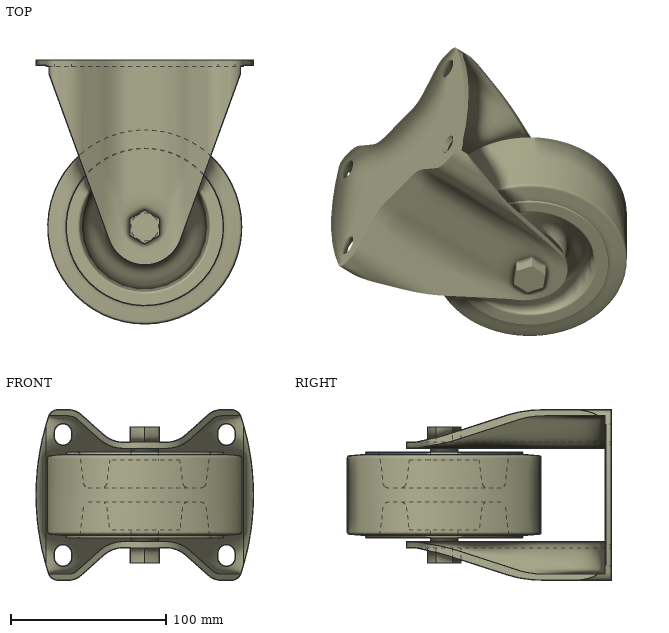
import cadquery as cq
import math


overall_length = 170.0
tread_diameter = 125.0
tread_radius = tread_diameter / 2

plate_width = 140.0
plate_height = 110.0
plate_thickness = 4.0
wing_thickness = 3.5
wing_start = 63.5
bulge_radius = 161.5
corner_radius = 6.8
plate_back = overall_length - tread_radius
plate_half_width = plate_width / 2
plate_half_height = plate_height / 2

slot_width = 11.0
slot_height = 13.8
slot_spacing_x = 105.2
slot_spacing_z = 77.9

waist_outer_height = 68.0
waist_inner_height = 60.0
waist_width = 27.7
waist_bend_radius = 18.9
shoulder_start = 49.5
shoulder_bend_radius = 13.0
leg_end_radius = 24.3
leg_taper_x = 61.9
leg_taper_y = 99.1
waist_half_height = waist_outer_height / 2
waist_half_width = waist_width / 2
sheet = (waist_outer_height - waist_inner_height) / 2

hex_across_flats = 18.9
bolt_half_length = 43.9
spacer_diameter = 18.0

tread_half_width = 26.2
tread_edge_half_width = 25.2
tread_edge_fillet = 1.5
rim_half_width = 27.5
rim_diameter = 101.5
rim_face_radius = 50.5
floor_thickness = 9.0
floor_outer_radius = 39.1
floor_inner_radius = 24.8
floor_fillet = 3.7
draft = math.radians(7)
rim_edge_fillet = 1.5
hub_half_width = 22.5
hub_edge_fillet = 1.0

radius_sum = waist_bend_radius + shoulder_bend_radius
centre_dx = shoulder_start - waist_half_width
centre_dz = plate_half_height - waist_half_height - radius_sum
slope = math.atan2(centre_dz, centre_dx) + math.asin(radius_sum / math.hypot(centre_dx, centre_dz))


def polar(centre, radius, angle):
    return (centre[0] + radius * math.cos(angle), centre[1] + radius * math.sin(angle))


def draw_leg_bends(depth):
    """Start a quarter outline that follows a leg, `depth` below its outer face."""
    waist_centre = (waist_half_width, waist_half_height + waist_bend_radius)
    shoulder_centre = (shoulder_start, plate_half_height - shoulder_bend_radius)
    waist_radius = waist_bend_radius + depth
    shoulder_radius = shoulder_bend_radius - depth
    down = -math.pi / 2
    up = math.pi / 2
    return (
        cq.Workplane("XZ", origin=(0, plate_back, 0))
        .lineTo(0, waist_half_height - depth)
        .lineTo(waist_half_width, waist_half_height - depth)
        .threePointArc(polar(waist_centre, waist_radius, down + slope / 2),
                       polar(waist_centre, waist_radius, down + slope))
        .lineTo(*polar(shoulder_centre, shoulder_radius, up + slope))
        .threePointArc(polar(shoulder_centre, shoulder_radius, up + slope / 2),
                       polar(shoulder_centre, shoulder_radius, up))
    )


def mirror_quarter(quarter):
    half = quarter.union(quarter.mirror("YZ"))
    return half.union(half.mirror("XY")).clean()


def outline_prism(length):
    """The outline of the bracket, extruded from the back of the plate."""
    bulge_centre = (plate_half_width - bulge_radius, 0)
    corner_z = plate_half_height - corner_radius
    corner_x = bulge_centre[0] + math.sqrt((bulge_radius - corner_radius) ** 2 - corner_z**2)
    corner_centre = (corner_x, corner_z)
    meet_angle = math.asin(corner_z / (bulge_radius - corner_radius))
    corner_middle_angle = (meet_angle + math.pi / 2) / 2
    quarter = (
        draw_leg_bends(0)
        .lineTo(corner_x, plate_half_height)
        .threePointArc(polar(corner_centre, corner_radius, corner_middle_angle),
                       polar(bulge_centre, bulge_radius, meet_angle))
        .threePointArc(polar(bulge_centre, bulge_radius, meet_angle / 2), (plate_half_width, 0))
        .close()
        .extrude(length)
    )
    return mirror_quarter(quarter)


def make_legs():
    length = plate_back + leg_end_radius
    cavity = mirror_quarter(
        draw_leg_bends(sheet)
        .lineTo(plate_half_width, plate_half_height - sheet)
        .lineTo(plate_half_width, 0)
        .close()
        .extrude(length)
    )
    taper_distance = math.hypot(leg_taper_x, leg_taper_y)
    tangent_angle = math.atan2(leg_taper_y, leg_taper_x) - math.acos(leg_end_radius / taper_distance)
    tangent_x, tangent_y = polar((0, 0), leg_end_radius, tangent_angle)
    silhouette = (
        cq.Workplane("XY")
        .moveTo(-leg_taper_x, plate_back)
        .lineTo(-leg_taper_x, leg_taper_y)
        .lineTo(-tangent_x, tangent_y)
        .threePointArc((0, -leg_end_radius), (tangent_x, tangent_y))
        .lineTo(leg_taper_x, leg_taper_y)
        .lineTo(leg_taper_x, plate_back)
        .close()
        .extrude(plate_half_height, both=True)
    )
    return outline_prism(length).cut(cavity).intersect(silhouette)


def make_plate():
    flat_centre = cq.Workplane("XY").box(2 * wing_start, 2 * plate_back, 2 * plate_half_height)
    plate = outline_prism(wing_thickness).union(outline_prism(plate_thickness).intersect(flat_centre))
    slots = (
        cq.Workplane("XZ", origin=(0, plate_back, 0))
        .rect(slot_spacing_x, slot_spacing_z, forConstruction=True)
        .vertices()
        .slot2D(slot_height, slot_width, 90)
        .extrude(plate_thickness)
    )
    return plate.cut(slots)


def make_axle():
    """Hexagon heads outside the legs and a round spacer between leg and hub."""
    hex_diameter = hex_across_flats / math.cos(math.pi / 6)
    spacer_half_length = waist_inner_height / 2
    hex_length = bolt_half_length - spacer_half_length
    head = (
        cq.Workplane("XY", origin=(0, 0, spacer_half_length))
        .transformed(rotate=(0, 0, 30))
        .polygon(6, hex_diameter)
        .extrude(hex_length)
    )
    spacer = cq.Workplane("XY").circle(spacer_diameter / 2).extrude(spacer_half_length, both=True)
    return spacer.union(head).union(head.mirror("XY"))


def make_wheel():
    """Full section revolved about the axle, then rounded on both faces at once."""
    floor_half_thickness = floor_thickness / 2
    hub_radius = floor_inner_radius - (hub_half_width - floor_half_thickness) * math.tan(draft)
    mouth_radius = floor_outer_radius + (rim_half_width - floor_half_thickness) * math.tan(draft)
    upper_section = [
        (0, hub_half_width),
        (hub_radius, hub_half_width),
        (floor_inner_radius, floor_half_thickness),
        (floor_outer_radius, floor_half_thickness),
        (mouth_radius, rim_half_width),
        (rim_face_radius, rim_half_width),
        (rim_diameter / 2, tread_half_width),
        (tread_radius, tread_edge_half_width),
    ]
    lower_section = [(radius, -z) for radius, z in reversed(upper_section)]
    wheel = (
        cq.Workplane("XZ")
        .polyline(upper_section + lower_section)
        .close()
        .revolve(360, (0, 0, 0), (0, 1, 0))
    )

    fillets = [
        (hub_radius, hub_edge_fillet),
        (floor_inner_radius, floor_fillet),
        (floor_outer_radius, floor_fillet),
        (mouth_radius, rim_edge_fillet),
        (tread_radius, tread_edge_fillet),
    ]
    for circle_radius, fillet in fillets:
        circles = wheel.edges("%CIRCLE").filter(lambda edge: math.isclose(edge.radius(), circle_radius))
        wheel = circles.fillet(fillet)
    return wheel


result = make_plate().union(make_legs()).union(make_axle()).union(make_wheel())